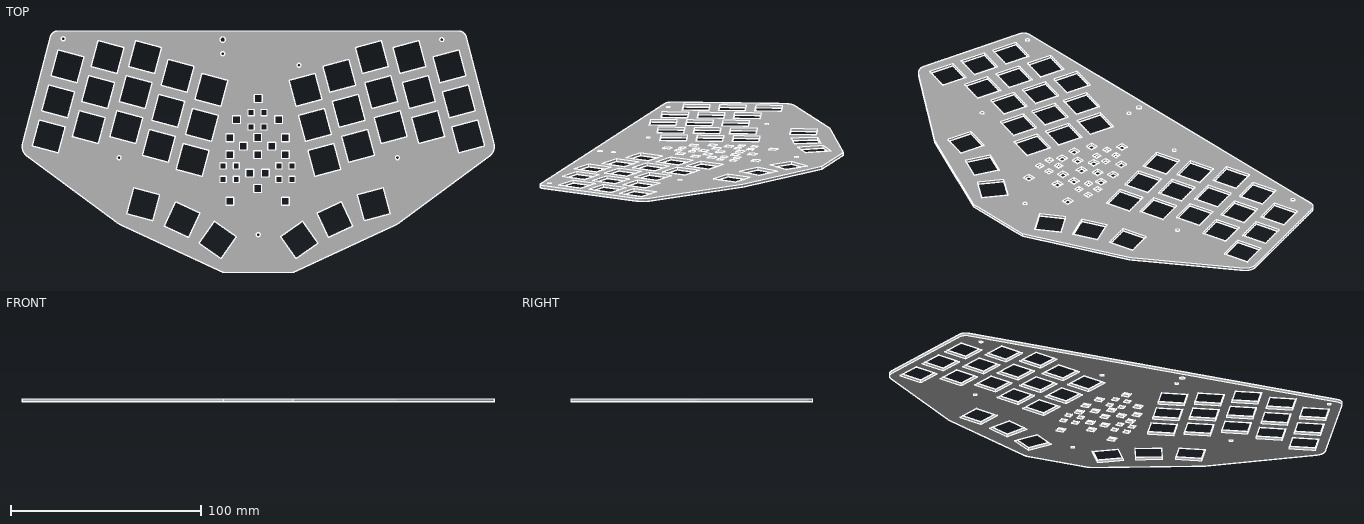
import cadquery as cq
import math

width = 248.12
depth = 127.0
thickness = 1.6
half_depth = depth / 2
side_angle = 14.6
slope_angle = 36.43
side_corner_radius = 6.47
side_corner_y = 2.85
back_corner_radius = 4.27
knee_x = 73.0
front_edge_half = 18.24

hands_x = 0.12
key_size = 14.0
key_pitch = 19.05
hand_angle = 15.0
rows = 3
first_key = (-100.3, 44.89)
column_stagger = [0.0, 10.16, 15.24, 10.16, 7.62]
thumb_keys = [
    (-60.53, -27.54, 15.0),
    (-40.11, -35.6, 25.0),
    (-21.43, -46.3, 35.0),
]

screw_diameter = 2.0
screw_points = [
    (-102.44, 59.34),
    (96.4, 58.94),
    (-18.65, 51.5),
    (21.4, 45.47),
    (-73.1, -3.1),
    (73.1, -3.1),
    (0.0, -43.55),
]
wide_hole_diameter = 2.69
wide_hole_point = (-18.65, 58.91)

pattern_x = -0.35
large_square = 4.0
small_square = 3.1
large_centre_y = [7.48, -1.5, -19.3]
top_square = (0.0, 28.0)
large_pairs = [
    (11.08, 16.86),
    (14.57, 7.4),
    (7.47, 3.0),
    (14.57, -1.5),
    (4.1, -11.2),
    (14.57, -26.0),
]
small_pairs = [
    (3.37, 20.55),
    (3.37, 13.0),
    (18.1, -7.4),
    (11.2, -7.4),
    (18.1, -14.5),
    (11.2, -14.5),
]


def round_corners(plate, y, radius):
    """Fillet the two vertical edges that stand at the given y."""
    margin = thickness
    low = (-width, y - margin, -margin)
    high = (width, y + margin, thickness + margin)
    return plate.edges("|Z").edges(cq.selectors.BoxSelector(low, high)).fillet(radius)


def make_plate():
    side = math.radians(side_angle)
    slope = math.radians(slope_angle)
    arc_x = width / 2 - side_corner_radius
    back_x = arc_x + (side_corner_radius - (half_depth - side_corner_y) * math.sin(side)) / math.cos(side)
    knee_y = side_corner_y + ((knee_x - arc_x) * math.sin(slope) - side_corner_radius) / math.cos(slope)
    reach = side_corner_radius / (1 + math.sin(slope - side))
    corner_x = arc_x + reach * (math.cos(side) + math.sin(slope))
    corner_y = side_corner_y + reach * (math.sin(side) - math.cos(slope))

    right = [
        (back_x, half_depth),
        (corner_x, corner_y),
        (knee_x, knee_y),
        (front_edge_half, -half_depth),
    ]
    left = [(-x, y) for x, y in reversed(right)]
    plate = cq.Workplane("XY").polyline(right + left).close().extrude(thickness)
    plate = round_corners(plate, half_depth, back_corner_radius)
    return round_corners(plate, corner_y, side_corner_radius)


def left_keys():
    """Centre and clockwise angle of every left-hand switch cutout."""
    cos_hand = math.cos(math.radians(hand_angle))
    sin_hand = math.sin(math.radians(hand_angle))
    keys = list(thumb_keys)
    for column, stagger in enumerate(column_stagger):
        for row in range(rows):
            across = column * key_pitch
            along = stagger - row * key_pitch
            x = first_key[0] + across * cos_hand + along * sin_hand
            y = first_key[1] - across * sin_hand + along * cos_hand
            keys.append((x, y, hand_angle))
    return keys


def cut_keys(plate):
    for x, y, angle in left_keys():
        for side in (1, -1):
            block = cq.Workplane("XY").rect(key_size, key_size).extrude(thickness)
            block = block.rotate((0, 0, 0), (0, 0, 1), -side * angle)
            plate = plate.cut(block.translate((hands_x + side * x, y, 0)))
    return plate


def round_cutters(points, diameter):
    return cq.Workplane("XY").pushPoints(points).circle(diameter / 2).extrude(thickness)


def square_cutters(points, size):
    return cq.Workplane("XY").pushPoints(points).rect(size, size).extrude(thickness)


def both_sides(pairs):
    return [(pattern_x + side * x, y) for x, y in pairs for side in (-1, 1)]


large_points = [top_square] + [(pattern_x, y) for y in large_centre_y] + both_sides(large_pairs)

result = cut_keys(make_plate())
result = result.cut(round_cutters(screw_points, screw_diameter))
result = result.cut(round_cutters([wide_hole_point], wide_hole_diameter))
result = result.cut(square_cutters(large_points, large_square))
result = result.cut(square_cutters(both_sides(small_pairs), small_square))